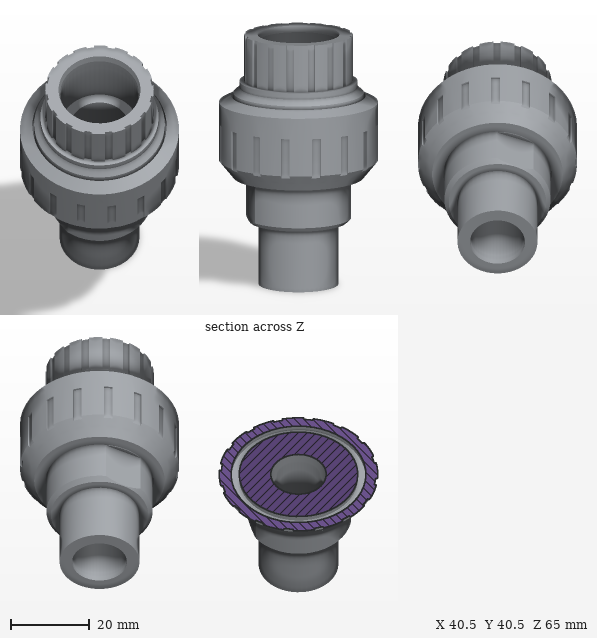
import cadquery as cq

total_height = 65.0
spigot_length = 16.3
nut_bottom_z = 27.95
nut_top_z = 49.0

flute_count = 16
flute_pitch = 360.0 / flute_count
cut_margin = 0.65

socket_diameter = 27.6
socket_base_z = 52.9
socket_flute_floor_diameter = 26.6
socket_flute_width = 1.9
socket_flute_turn = 0.9
ring_diameter = 30.1
ring_base_z = 51.3
shoulder_diameter = 33.3
shoulder_top_z = 49.85
seat_top_z = 46.5
pipe_socket_diameter = 20.0
pipe_socket_depth = 16.25
mouth_diameter = 20.85
mouth_depth = 1.6
socket_bore_diameter = 15.0

nut_diameter = 40.5
nut_bore_diameter = 34.2
nut_bottom_diameter = 33.3
grip_bottom_z = 32.4
grip_top_z = 47.45
nut_lip_diameter = 27.5
nut_lip_thickness = 3.25
nut_flute_width = 2.2
nut_flute_depth = 0.5
nut_flute_top_z = 42.05

spigot_diameter = 20.35
tail_bore_diameter = 14.0
collar_diameter = 27.05
collar_chamfer = 1.1
collar_flat_width = 25.1
tail_flange_diameter = 30.3
tail_flange_thickness = 1.95

tail_flange_z = nut_bottom_z + nut_lip_thickness
joint_z = tail_flange_z + tail_flange_thickness


def revolve_profile(points):
    """Turn a closed (radius, height) outline around the Z axis."""
    return cq.Workplane("XZ").polyline(points).close().revolve(360, (0, 0), (0, 1))


def flute_cutters(outer_diameter, floor_diameter, width, bottom_z, top_z, turn):
    """Ring of straight-sided cutters that leave a round floor at floor_diameter."""
    reach = outer_diameter / 2 + cut_margin
    height = top_z - bottom_z
    core = cq.Workplane("XY").workplane(offset=bottom_z).circle(floor_diameter / 2).extrude(height)
    cutters = cq.Workplane("XY")
    for index in range(flute_count):
        bar = (
            cq.Workplane("XY")
            .box(reach, width, height, centered=(False, True, False))
            .translate((0, 0, bottom_z))
            .cut(core)
            .rotate((0, 0, 0), (0, 0, 1), index * flute_pitch + turn)
        )
        cutters = cutters.add(bar)
    return cutters


def cut_each(body, cutters):
    """Cut every cutter from the body, one at a time."""
    for cutter in cutters.vals():
        body = body.cut(cq.Workplane(cutter))
    return body


def make_socket_body():
    """Fluted pipe socket, stepped shoulder and the seat that fills the nut bore."""
    socket_floor_z = total_height - pipe_socket_depth
    body = revolve_profile([
        (socket_bore_diameter / 2, joint_z),
        (nut_bore_diameter / 2, joint_z),
        (nut_bore_diameter / 2, seat_top_z),
        (shoulder_diameter / 2, seat_top_z),
        (shoulder_diameter / 2, shoulder_top_z),
        (ring_diameter / 2, ring_base_z),
        (ring_diameter / 2, socket_base_z),
        (socket_diameter / 2, socket_base_z),
        (socket_diameter / 2, total_height),
        (mouth_diameter / 2, total_height),
        (pipe_socket_diameter / 2, total_height - mouth_depth),
        (pipe_socket_diameter / 2, socket_floor_z),
        (socket_bore_diameter / 2, socket_floor_z),
    ])
    flutes = flute_cutters(
        socket_diameter, socket_flute_floor_diameter, socket_flute_width,
        socket_base_z, total_height, socket_flute_turn,
    )
    return cut_each(body, flutes)


def make_nut():
    """Fluted union nut with a bottom lip that holds the tail flange."""
    body = revolve_profile([
        (nut_lip_diameter / 2, nut_bottom_z),
        (nut_bottom_diameter / 2, nut_bottom_z),
        (nut_diameter / 2, grip_bottom_z),
        (nut_diameter / 2, grip_top_z),
        (nut_bore_diameter / 2, nut_top_z),
        (nut_bore_diameter / 2, tail_flange_z),
        (nut_lip_diameter / 2, tail_flange_z),
    ])
    flutes = flute_cutters(
        nut_diameter, nut_diameter - 2 * nut_flute_depth, nut_flute_width,
        nut_bottom_z, nut_flute_top_z, 0,
    )
    return cut_each(body, flutes)


def make_tail_body():
    """Spigot with a flatted collar and a flange resting on the nut lip."""
    body = revolve_profile([
        (tail_bore_diameter / 2, 0),
        (spigot_diameter / 2, 0),
        (spigot_diameter / 2, spigot_length),
        (collar_diameter / 2 - collar_chamfer, spigot_length),
        (collar_diameter / 2, spigot_length + collar_chamfer),
        (collar_diameter / 2, tail_flange_z),
        (tail_flange_diameter / 2, tail_flange_z),
        (tail_flange_diameter / 2, joint_z),
        (tail_bore_diameter / 2, joint_z),
    ])
    flat_depth = (collar_diameter - collar_flat_width) / 2 + cut_margin
    for side in (-1, 1):
        cutter = (
            cq.Workplane("XY")
            .box(collar_diameter, flat_depth, nut_bottom_z - spigot_length, centered=(True, True, False))
            .translate((0, side * (collar_flat_width + flat_depth) / 2, spigot_length))
        )
        body = body.cut(cutter)
    return body


socket_body = make_socket_body()
nut = make_nut()
tail_body = make_tail_body()

result = cq.Compound.makeCompound([socket_body.val(), nut.val(), tail_body.val()])